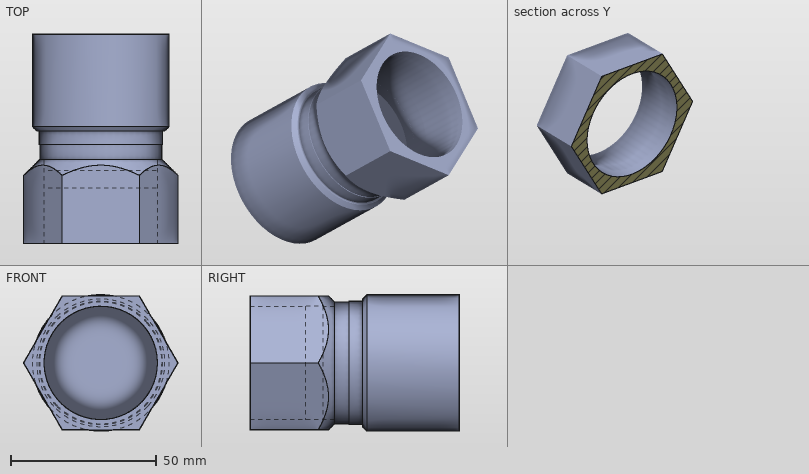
import cadquery as cq
import math

total_length = 72.0

across_flats = 46.0
across_corners = across_flats / math.cos(math.radians(30))
hex_end_y = 29.0

neck_diameter = 42.0
neck_end_y = 34.0
collar_diameter = 42.5
collar_end_y = 38.7

body_diameter = 47.0
body_chamfer = 1.5

bore_diameter = 38.95
bore_depth = hex_end_y
relief_diameter = 39.0
relief_start_y = 19.05
relief_end_y = 25.12


def cylinder(diameter, start_y, end_y):
    """Cylinder on the Y axis between two stations."""
    return (
        cq.Workplane("XZ", origin=(0, start_y, 0))
        .circle(diameter / 2)
        .extrude(start_y - end_y)
    )


def make_hexagon():
    """Hexagon whose rear corners are turned off by a 45 degree cone."""
    prism = (
        cq.Workplane("XZ")
        .polygon(6, across_corners)
        .extrude(-hex_end_y)
    )
    neck_radius = neck_diameter / 2
    corner_radius = across_corners / 2
    cone_start_y = hex_end_y - (corner_radius - neck_radius)
    turned_envelope = (
        cq.Workplane("XY")
        .moveTo(0, 0)
        .lineTo(corner_radius, 0)
        .lineTo(corner_radius, cone_start_y)
        .lineTo(neck_radius, hex_end_y)
        .lineTo(0, hex_end_y)
        .close()
        .revolve(360, (0, 0, 0), (0, 1, 0))
    )
    return prism.intersect(turned_envelope)


def make_neck():
    """Neck and slightly larger collar between the hexagon and the body."""
    neck = cylinder(neck_diameter, hex_end_y, neck_end_y)
    collar = cylinder(collar_diameter, neck_end_y, collar_end_y)
    return neck.union(collar)


def make_body():
    """Round body, chamfered on the edge next to the collar."""
    body = cylinder(body_diameter, collar_end_y, total_length)
    return body.faces("<Y").edges().chamfer(body_chamfer)


def make_bore():
    """Blind bore opening at the hexagon face, together with its relief groove."""
    bore = cylinder(bore_diameter, 0, bore_depth)
    relief = cylinder(relief_diameter, relief_start_y, relief_end_y)
    return bore.union(relief)


result = make_hexagon().union(make_neck()).union(make_body()).cut(make_bore())